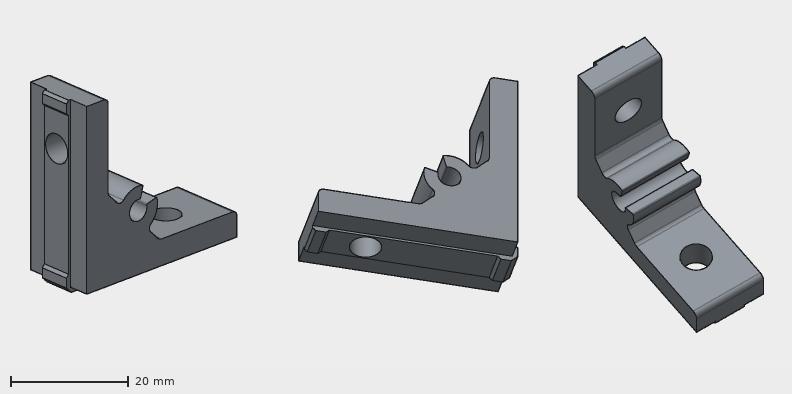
import cadquery as cq
import math

length = 36.0
width = 14.0
arm_inner = 6.0
tip_radius = 1.0

key_width = 6.0
key_height = 1.0
key_recess = 0.55
corner_chamfer = 1.15
corner_pad_end = 3.0
corner_ramp = 0.58
end_chamfer = 0.55
end_pad_length = 2.38
end_ramp = 0.55

web_reach = 18.0
clip_center = 13.0
clip_radius = 4.5
clip_bore_radius = 2.0
clip_mouth_angle = 60.0
clip_root_radius = 1.0
clip_lip_radius = 0.198
web_end_radius = 1.0

hole_diameter = 5.5
hole_position = 26.0


def extrude_yz(sketch, size_x):
    """Extrude a YZ outline symmetrically about X = 0."""
    return sketch.extrude(size_x / 2, both=True)


def mirrored(points):
    """Swap Y and Z and reverse the order, to complete a symmetric outline."""
    return [(z, y) for y, z in reversed(points)]


def fillet_edges_at(body, points, radius):
    """Fillet the edge along X nearest to each (y, z) point."""
    for y, z in points:
        edge = cq.selectors.NearestToPointSelector((0, y, z))
        body = body.edges("|X").edges(edge).fillet(radius)
    return body


def make_body():
    half = [
        (key_height, key_height),
        (length, key_height),
        (length, arm_inner),
        (web_reach, arm_inner),
    ]
    outline = half + mirrored(half[1:])
    body = extrude_yz(cq.Workplane("YZ").polyline(outline).close(), width)
    body = fillet_edges_at(body, [(length, arm_inner), (arm_inner, length)], tip_radius)
    return fillet_edges_at(body, [(web_reach, arm_inner), (arm_inner, web_reach)], web_end_radius)


def make_key():
    lower = [
        (corner_chamfer, 0),
        (corner_pad_end, 0),
        (corner_pad_end + corner_ramp, key_recess),
        (length - end_pad_length - end_ramp, key_recess),
        (length - end_pad_length, 0),
        (length - end_chamfer, 0),
        (length, end_chamfer),
        (length, key_height),
        (key_height, key_height),
    ]
    outline = lower + mirrored(lower[:-1])
    return extrude_yz(cq.Workplane("YZ").polyline(outline).close(), key_width)


def make_clip_disc():
    """Solid disc of the clip, before its bore and mouth are cut."""
    sketch = cq.Workplane("YZ").center(clip_center, clip_center).circle(clip_radius)
    return extrude_yz(sketch, width)


def round_clip_roots(body):
    """Fillet the two edges where the disc runs into the web."""
    center_offset = (2 * clip_center - web_reach - arm_inner) / math.sqrt(2)
    half_chord = math.sqrt(clip_radius**2 - center_offset**2)
    roots = []
    for side in (-1, 1):
        y = clip_center + (-center_offset + side * half_chord) / math.sqrt(2)
        z = clip_center + (-center_offset - side * half_chord) / math.sqrt(2)
        roots.append((y, z))
    return fillet_edges_at(body, roots, clip_root_radius)


def mouth_point(radius, side):
    """Point on one side of the mouth (side -1 or 1), at a radius from the clip axis."""
    angle = math.radians(45 + side * clip_mouth_angle / 2)
    return (clip_center + radius * math.cos(angle), clip_center + radius * math.sin(angle))


def make_clip_opening():
    bore = cq.Workplane("YZ").center(clip_center, clip_center).circle(clip_bore_radius)
    mouth_reach = 2 * clip_radius
    corners = [
        (clip_center, clip_center),
        mouth_point(mouth_reach, -1),
        mouth_point(mouth_reach, 1),
    ]
    mouth = cq.Workplane("YZ").polyline(corners).close()
    return extrude_yz(bore, width).union(extrude_yz(mouth, width))


def round_clip_lips(body):
    lips = [mouth_point(radius, side) for radius in (clip_bore_radius, clip_radius) for side in (-1, 1)]
    return fillet_edges_at(body, lips, clip_lip_radius)


def make_screw_holes():
    """One hole through each arm."""
    radius = hole_diameter / 2
    upright = cq.Solid.makeCylinder(
        radius, arm_inner, cq.Vector(0, 0, hole_position), cq.Vector(0, 1, 0)
    )
    flat = cq.Solid.makeCylinder(
        radius, arm_inner, cq.Vector(0, hole_position, 0), cq.Vector(0, 0, 1)
    )
    return cq.Workplane(upright).union(cq.Workplane(flat))


body = round_clip_roots(make_body().union(make_clip_disc()))
body = round_clip_lips(body.cut(make_clip_opening()))
result = body.union(make_key()).cut(make_screw_holes())